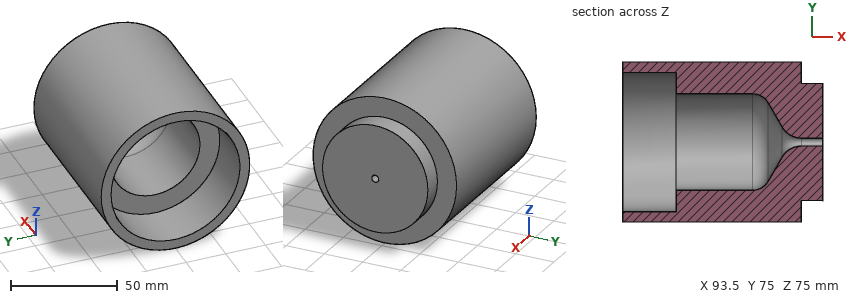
import cadquery as cq
import math

total_length = 93.54
spigot_length = 10.0
body_length = total_length - spigot_length
body_radius = 75.0 / 2
spigot_radius = 55.0 / 2

socket_radius = 65.0 / 2
socket_depth = 25.0
chamber_radius = 45.0 / 2

throat_radius = 1.8
cone_angle = math.radians(60)
cone_start_radius = 18.3
cone_end_radius = 7.0
throat_position = body_length

arc_drop = 1 - math.cos(cone_angle)
half_arc_drop = 1 - math.cos(cone_angle / 2)
entry_arc_radius = (chamber_radius - cone_start_radius) / arc_drop
throat_arc_radius = (cone_end_radius - throat_radius) / arc_drop

cone_length = (cone_start_radius - cone_end_radius) / math.tan(cone_angle)
cone_end = throat_position - throat_arc_radius * math.sin(cone_angle)
cone_start = cone_end - cone_length
chamber_end = cone_start - entry_arc_radius * math.sin(cone_angle)


def revolve_about_x(profile):
    return profile.close().revolve(360, (0, 0, 0), (1, 0, 0))


def make_outside():
    profile = (
        cq.Workplane("XY")
        .lineTo(0, body_radius)
        .lineTo(body_length, body_radius)
        .lineTo(body_length, spigot_radius)
        .lineTo(total_length, spigot_radius)
        .lineTo(total_length, 0)
    )
    return revolve_about_x(profile)


def make_passage():
    entry_arc_middle = (
        chamber_end + entry_arc_radius * math.sin(cone_angle / 2),
        chamber_radius - entry_arc_radius * half_arc_drop,
    )
    throat_arc_middle = (
        throat_position - throat_arc_radius * math.sin(cone_angle / 2),
        throat_radius + throat_arc_radius * half_arc_drop,
    )
    profile = (
        cq.Workplane("XY")
        .lineTo(0, socket_radius)
        .lineTo(socket_depth, socket_radius)
        .lineTo(socket_depth, chamber_radius)
        .lineTo(chamber_end, chamber_radius)
        .threePointArc(entry_arc_middle, (cone_start, cone_start_radius))
        .lineTo(cone_end, cone_end_radius)
        .threePointArc(throat_arc_middle, (throat_position, throat_radius))
        .lineTo(total_length, throat_radius)
        .lineTo(total_length, 0)
    )
    return revolve_about_x(profile)


result = make_outside().cut(make_passage())